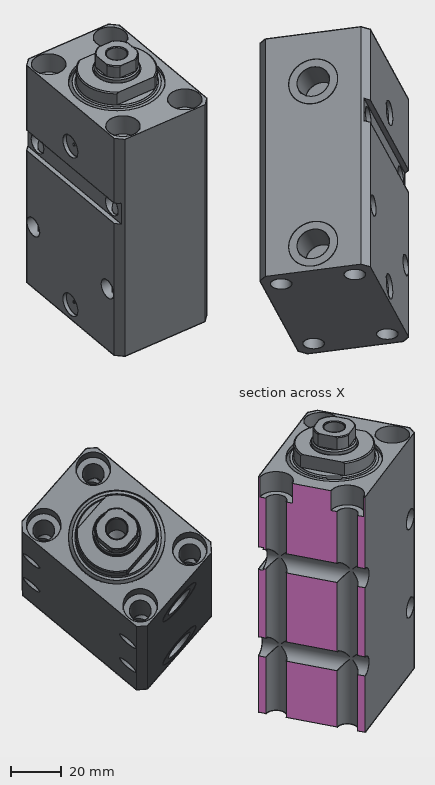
import cadquery as cq
import math

TOTAL_HEIGHT = 121.0
BLOCK_WIDTH = 65.0
BLOCK_DEPTH = 45.0
BLOCK_HEIGHT = 107.0
CORNER_CHAMFER = 3.0

BOLT_SPACING_X = 50.0
BOLT_SPACING_Y = 30.0
BOLT_DIAMETER = 8.5
BOLT_HEAD_DIAMETER = 13.5
BOLT_HEAD_DEPTH = 9.0
LOWER_CROSS_HOLE_HEIGHT = 30.0
CROSS_HOLE_SPACING = 40.0

SLOT_HEIGHT = 10.0
SLOT_DEPTH = 2.0

UPPER_PORT_HEIGHT = 85.1
FRONT_LOWER_PORT_HEIGHT = 7.0
FRONT_LOWER_PILOT_HEIGHT = 7.5
SIDE_LOWER_PORT_HEIGHT = 12.0
FRONT_PORT_DIAMETER = 10.0
FRONT_PORT_DEPTH = 1.7
SIDE_PORT_DIAMETER = 13.2
SIDE_PORT_DEPTH = 13.3
SPOTFACE_DIAMETER = 20.0
SPOTFACE_DEPTH = 0.1
PILOT_DIAMETER = 1.2
PILOT_DEPTH = 2.4

GLAND_DIAMETER = 38.0
GLAND_LENGTH = 12.1
GLAND_CHAMFER = 1.5
NECK_DIAMETER = 32.0
NECK_TOP = 113.5
NECK_CHAMFER = 0.5
NECK_FLATS_WIDTH = 26.0
FOOT_WIDTH = 0.5
FOOT_HEIGHT = 0.6
ROD_BORE_CHAMFER = 0.5

ROD_DIAMETER = 18.0
ROD_SHOULDER_HEIGHT = 115.2
ROD_CHAMFER = 0.6
TIP_DIAMETER = 17.0
TIP_FLATS_WIDTH = 15.0
TIP_CHAMFER = 0.4
ROD_HOLE_DIAMETER = 8.2
ROD_HOLE_DEPTH = 19.4
ROD_HOLE_CHAMFER = 0.4
DRILL_POINT_ANGLE = 118.0

GLAND_BOTTOM = BLOCK_HEIGHT - GLAND_LENGTH


def cylinder(diameter, bottom, height):
    """Upright cylinder on the Z axis."""
    return cq.Workplane("XY").workplane(offset=bottom).circle(diameter / 2).extrude(height)


def revolved(half_section):
    """Body of revolution about the Z axis from (radius, height) points."""
    return cq.Workplane("XZ").polyline(half_section).close().revolve(360, (0, 0, 0), (0, 1, 0))


def front_bore(x, z, diameter, start_depth, length):
    """Bore running +Y from a given depth behind the front face."""
    start = cq.Vector(x, -BLOCK_DEPTH / 2 + start_depth, z)
    return cq.Workplane(cq.Solid.makeCylinder(diameter / 2, length, start, cq.Vector(0, 1, 0)))


def side_bore(z, diameter, start_depth, length):
    """Bore running +X from a given depth behind the left face."""
    start = cq.Vector(-BLOCK_WIDTH / 2 + start_depth, 0, z)
    return cq.Workplane(cq.Solid.makeCylinder(diameter / 2, length, start, cq.Vector(1, 0, 0)))


def make_housing():
    block = (
        cq.Workplane("XY")
        .rect(BLOCK_WIDTH, BLOCK_DEPTH)
        .extrude(BLOCK_HEIGHT)
        .edges("|Z")
        .chamfer(CORNER_CHAMFER)
    )

    block = (
        block.faces(">Z")
        .workplane()
        .rarray(BOLT_SPACING_X, BOLT_SPACING_Y, 2, 2)
        .cboreHole(BOLT_DIAMETER, BOLT_HEAD_DIAMETER, BOLT_HEAD_DEPTH)
    )

    upper_cross_hole_height = LOWER_CROSS_HOLE_HEIGHT + CROSS_HOLE_SPACING
    for x in (-BOLT_SPACING_X / 2, BOLT_SPACING_X / 2):
        for z in (LOWER_CROSS_HOLE_HEIGHT, upper_cross_hole_height):
            block = block.cut(front_bore(x, z, BOLT_DIAMETER, 0, BLOCK_DEPTH))

    slot = cq.Workplane("XY").box(BLOCK_WIDTH, 2 * SLOT_DEPTH, SLOT_HEIGHT)
    block = block.cut(slot.translate((0, -BLOCK_DEPTH / 2, upper_cross_hole_height)))

    front_ports = (
        (FRONT_LOWER_PORT_HEIGHT, FRONT_LOWER_PILOT_HEIGHT),
        (UPPER_PORT_HEIGHT, UPPER_PORT_HEIGHT),
    )
    for port_z, pilot_z in front_ports:
        block = block.cut(front_bore(0, port_z, FRONT_PORT_DIAMETER, 0, FRONT_PORT_DEPTH))
        block = block.cut(front_bore(0, pilot_z, PILOT_DIAMETER, FRONT_PORT_DEPTH, PILOT_DEPTH))

    for z in (SIDE_LOWER_PORT_HEIGHT, UPPER_PORT_HEIGHT):
        block = block.cut(side_bore(z, SPOTFACE_DIAMETER, 0, SPOTFACE_DEPTH))
        block = block.cut(side_bore(z, SIDE_PORT_DIAMETER, 0, SIDE_PORT_DEPTH))
        block = block.cut(side_bore(z, PILOT_DIAMETER, SIDE_PORT_DEPTH, PILOT_DEPTH))

    return block.cut(cylinder(GLAND_DIAMETER, GLAND_BOTTOM, GLAND_LENGTH))


def make_gland():
    gland_radius = GLAND_DIAMETER / 2
    neck_radius = NECK_DIAMETER / 2
    bore_radius = ROD_DIAMETER / 2
    flats_bottom = BLOCK_HEIGHT + FOOT_HEIGHT

    nut = revolved(
        [
            (bore_radius, GLAND_BOTTOM),
            (gland_radius, GLAND_BOTTOM),
            (gland_radius, BLOCK_HEIGHT - GLAND_CHAMFER),
            (gland_radius - GLAND_CHAMFER, BLOCK_HEIGHT),
            (neck_radius + FOOT_WIDTH, BLOCK_HEIGHT),
            (neck_radius, flats_bottom),
            (neck_radius, NECK_TOP - NECK_CHAMFER),
            (neck_radius - NECK_CHAMFER, NECK_TOP),
            (bore_radius + ROD_BORE_CHAMFER, NECK_TOP),
            (bore_radius, NECK_TOP - ROD_BORE_CHAMFER),
        ]
    )

    flats_height = NECK_TOP - flats_bottom
    between_flats = (
        cq.Workplane("XY")
        .workplane(offset=flats_bottom)
        .rect(NECK_FLATS_WIDTH, NECK_DIAMETER)
        .extrude(flats_height)
    )
    outside_flats = cylinder(GLAND_DIAMETER, flats_bottom, flats_height).cut(between_flats)
    return nut.cut(outside_flats)


def make_rod():
    shaft = cylinder(ROD_DIAMETER, GLAND_BOTTOM, ROD_SHOULDER_HEIGHT - GLAND_BOTTOM)
    shaft = shaft.faces(">Z").edges().chamfer(ROD_CHAMFER)

    tip_height = TOTAL_HEIGHT - ROD_SHOULDER_HEIGHT
    tip_square = (
        cq.Workplane("XY")
        .workplane(offset=ROD_SHOULDER_HEIGHT)
        .rect(TIP_FLATS_WIDTH, TIP_FLATS_WIDTH)
        .extrude(tip_height)
    )
    tip = cylinder(TIP_DIAMETER, ROD_SHOULDER_HEIGHT, tip_height)
    tip = tip.faces(">Z").edges().chamfer(TIP_CHAMFER).intersect(tip_square)

    hole_radius = ROD_HOLE_DIAMETER / 2
    point_length = hole_radius / math.tan(math.radians(DRILL_POINT_ANGLE / 2))
    hole_bottom = TOTAL_HEIGHT - ROD_HOLE_DEPTH
    drilled_hole = revolved(
        [
            (0, hole_bottom - point_length),
            (hole_radius, hole_bottom),
            (hole_radius, TOTAL_HEIGHT - ROD_HOLE_CHAMFER),
            (hole_radius + ROD_HOLE_CHAMFER, TOTAL_HEIGHT),
            (0, TOTAL_HEIGHT),
        ]
    )
    return shaft.union(tip).cut(drilled_hole)


housing = make_housing().solids()
gland = make_gland().solids()
rod = make_rod().solids()

result = cq.Compound.makeCompound([housing.val(), gland.val(), rod.val()])